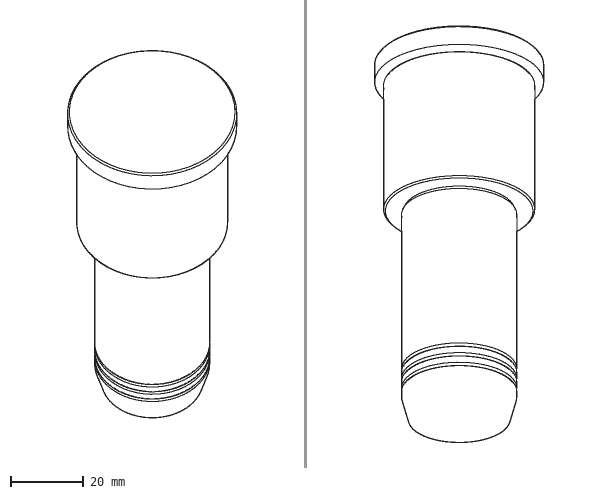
import cadquery as cq
import math

TOTAL_LENGTH = 111.0
HEAD_THICKNESS = 6.0
SHANK_LENGTH = 40.0
TIP_LENGTH = 7.0

HEAD_RADIUS = 47.0 / 2
SHANK_RADIUS = 42.0 / 2
PIN_RADIUS = 32.0 / 2

EDGE_CHAMFER = 0.5
TIP_FILLET = 0.5
RELIEF_WIDTH = 1.0
RELIEF_DEPTH = 0.5
GROOVE_RADIUS = 0.5
GROOVE_COUNT = 3
GROOVE_PITCH = 3.0
TIP_ANGLE = 15.0

HEAD_BOTTOM = -HEAD_THICKNESS
SHANK_BOTTOM = HEAD_BOTTOM - SHANK_LENGTH
PIN_BOTTOM = -TOTAL_LENGTH
TIP_TOP = PIN_BOTTOM + TIP_LENGTH
FIRST_GROOVE_TOP = TIP_TOP + GROOVE_COUNT * GROOVE_PITCH


def revolve_profile(points):
    """Solid of revolution about Z from a closed outline of (radius, level) points."""
    outline = [(-radius, level) for radius, level in points]
    return cq.Workplane("XZ").polyline(outline).close().revolve(360, (0, 0), (0, 1))


def groove_cutter(radius, top):
    """Ring of round section that cuts a semicircular groove into a cylinder of the given radius."""
    section = cq.Workplane("XZ").center(-radius, top - GROOVE_RADIUS).circle(GROOVE_RADIUS)
    return section.revolve(360, (radius, 0), (radius, 1))


def make_body():
    """Head, shank and pin with a tapered, rounded tip, as one turned outline."""
    tip_radius = PIN_RADIUS - TIP_LENGTH * math.tan(math.radians(TIP_ANGLE))
    head = [
        (0, 0),
        (HEAD_RADIUS - EDGE_CHAMFER, 0),
        (HEAD_RADIUS, -EDGE_CHAMFER),
        (HEAD_RADIUS, HEAD_BOTTOM),
    ]
    shank = [
        (SHANK_RADIUS, HEAD_BOTTOM),
        (SHANK_RADIUS, SHANK_BOTTOM + EDGE_CHAMFER),
        (SHANK_RADIUS - EDGE_CHAMFER, SHANK_BOTTOM),
    ]
    pin = [
        (PIN_RADIUS - RELIEF_DEPTH, SHANK_BOTTOM),
        (PIN_RADIUS - RELIEF_DEPTH, SHANK_BOTTOM - RELIEF_WIDTH),
        (PIN_RADIUS, SHANK_BOTTOM - RELIEF_WIDTH),
        (PIN_RADIUS, TIP_TOP),
        (tip_radius, PIN_BOTTOM),
        (0, PIN_BOTTOM),
    ]
    body = revolve_profile(head + shank + pin)
    return body.faces("<Z").edges().fillet(TIP_FILLET)


result = make_body().cut(groove_cutter(SHANK_RADIUS, HEAD_BOTTOM))
for index in range(GROOVE_COUNT):
    result = result.cut(groove_cutter(PIN_RADIUS, FIRST_GROOVE_TOP - index * GROOVE_PITCH))